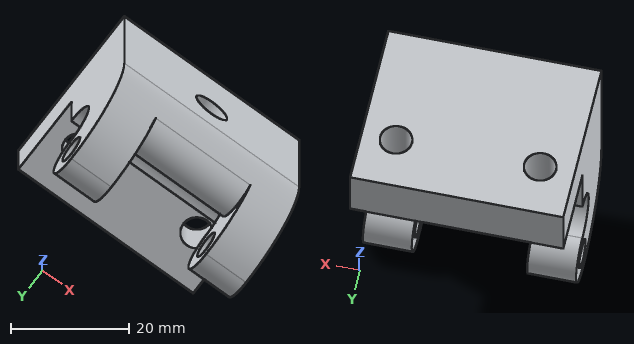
import cadquery as cq
import math

width = 37.0
depth = 30.0
height = 40.0
flange_thickness = 10.0

web_thickness = 15.0
knuckle_radius = 5.0
pin_diameter = 5.0

gap_width = 20.0
gap_nose_diameter = 9.0
gap_nose_from_bend_centre = 10.55
gap_angle = math.radians(30)

flange_hole_diameter = 5.5
flange_hole_spacing = 25.0
flange_hole_from_back = 9.0
web_hole_diameter = 6.5
web_hole_from_top = 15.8

bend_radius = web_thickness
bend_z = bend_radius
hinge_y = web_thickness
pin_z = knuckle_radius
relief_radius = bend_z - pin_z - knuckle_radius


def make_body():
    """Extrude the bracket profile symmetrically about X = 0."""
    bend_mid = bend_radius * math.sqrt(0.5)
    return (
        cq.Workplane("YZ")
        .moveTo(0, height)
        .lineTo(0, bend_z)
        .threePointArc((hinge_y - bend_mid, bend_z - bend_mid), (hinge_y, 0))
        .threePointArc((hinge_y + knuckle_radius, pin_z), (hinge_y, 2 * pin_z))
        .threePointArc((hinge_y - relief_radius, bend_z), (hinge_y, bend_z + relief_radius))
        .lineTo(hinge_y, height - flange_thickness)
        .lineTo(depth, height - flange_thickness)
        .lineTo(depth, height)
        .close()
        .extrude(width / 2, both=True)
    )


def make_gap_cutter():
    """Clear the knuckle in the middle, below a radial line from the bend centre."""
    reach = 2 * bend_radius
    line_end = (hinge_y - reach * math.cos(gap_angle), bend_z - reach * math.sin(gap_angle))
    return (
        cq.Workplane("YZ")
        .moveTo(hinge_y, bend_z)
        .lineTo(*line_end)
        .lineTo(line_end[0], -reach)
        .lineTo(hinge_y + reach, -reach)
        .lineTo(hinge_y + reach, bend_z)
        .close()
        .extrude(gap_width / 2, both=True)
    )


def make_gap_nose(body):
    """Round the end of the web in the gap, trimmed by the outside of the bend."""
    return (
        cq.Workplane("YZ")
        .center(
            hinge_y - gap_nose_from_bend_centre * math.cos(gap_angle),
            bend_z - gap_nose_from_bend_centre * math.sin(gap_angle),
        )
        .circle(gap_nose_diameter / 2)
        .extrude(gap_width / 2, both=True)
        .intersect(body)
    )


def make_pin_hole():
    """Hinge pin bore along X through both knuckles."""
    return (
        cq.Workplane("YZ")
        .center(hinge_y, pin_z)
        .circle(pin_diameter / 2)
        .extrude(width / 2, both=True)
    )


def make_web_hole():
    """Hole along Y through the web."""
    return (
        cq.Workplane("XZ")
        .center(0, height - web_hole_from_top)
        .circle(web_hole_diameter / 2)
        .extrude(-web_thickness)
    )


def make_flange_holes():
    """Pair of vertical holes through the flange."""
    half_spacing = flange_hole_spacing / 2
    hole_y = depth - flange_hole_from_back
    return (
        cq.Workplane("XY", origin=(0, 0, height - flange_thickness))
        .pushPoints([(-half_spacing, hole_y), (half_spacing, hole_y)])
        .circle(flange_hole_diameter / 2)
        .extrude(flange_thickness)
    )


body = make_body()
result = (
    body
    .cut(make_gap_cutter())
    .union(make_gap_nose(body))
    .cut(make_pin_hole())
    .cut(make_web_hole())
    .cut(make_flange_holes())
)